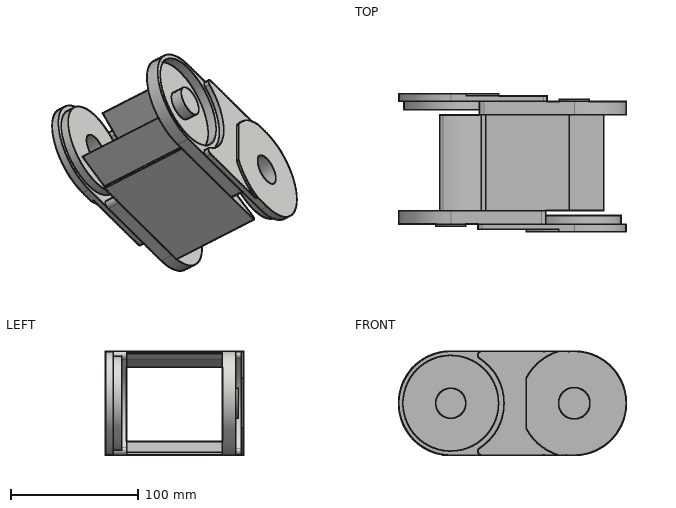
import cadquery as cq
import math

length = 179.0
height = 82.0
end_radius = height / 2
pivot_x = length / 2 - end_radius

setback = 0.2
outer_radius = end_radius - setback

side_inner = 37.6
recess_floor = 40.5
disc_inner = 41.44
plate_joint = 48.2
pin_tip = 50.0
web_outer = 52.5
side_outer = 108.7 / 2

clearance_radius = 41.9
recess_radius = 37.6
disc_radius = 36.9
pin_radius = 11.8
hole_radius = 12.4
pad_radius = 42.6
pad_flat_x = 10.7
inner_tip_radius = 3.5
outer_tip_radius = 3.0

top_start = -21.1
top_end = 44.8
top_underside = 28.1
top_wedge_root = 23.3
tongue_radius = 40.1
tongue_tip = (-57.3, 38.8)
tongue_bevel_x = -54.8
tongue_heel = (-50.8, 34.9)
tongue_root_x = -23.6
tongue_end_x = -24.7
ledge_height = 32.0

bottom_start = -54.8
bottom_lip_top = -38.5
ramp_end_x = -24.7
ramp_top = -30.0
step_x = -17.9
bottom_top = -29.7
bottom_end = 71.8
bottom_wedge_root = 42.0


def layer(near, far, sketch):
    """Extrude a sketch of the front side between two distances from the middle plane."""
    return sketch(cq.Workplane("XZ", origin=(0, -near, 0))).extrude(far - near)


def disc(x, radius, near, far):
    return layer(near, far, lambda plane: plane.center(x, 0).circle(radius))


def side_plate(near, far, direction, radius, tip_radius):
    """Plate round at one end (+1 right, -1 left) and hollowed around the other pivot, with round tips."""
    round_x = direction * pivot_x
    hollow_x = -round_x
    tip_z = radius - tip_radius
    tip_reach = clearance_radius + tip_radius
    tip_offset = math.sqrt(tip_reach**2 - tip_z**2)
    tip_x = hollow_x + direction * tip_offset
    touch_x = hollow_x + direction * tip_offset * clearance_radius / tip_reach
    touch_z = tip_z * clearance_radius / tip_reach
    tip_end_x = tip_x - direction * tip_radius
    hollow_bottom_x = hollow_x + direction * clearance_radius

    def outline(plane):
        return (
            plane.moveTo(tip_x, radius)
            .lineTo(round_x, radius)
            .threePointArc((round_x + direction * radius, 0), (round_x, -radius))
            .lineTo(tip_x, -radius)
            .threePointArc((tip_end_x, -tip_z), (touch_x, -touch_z))
            .threePointArc((hollow_bottom_x, 0), (touch_x, touch_z))
            .threePointArc((tip_end_x, tip_z), (tip_x, radius))
            .close()
        )

    return layer(near, far, outline)


def outer_pad():
    """Raised pad on the outer plate: a disc trimmed by a flat and by the plate's outline."""
    pad = side_plate(web_outer, side_outer, 1, outer_radius, outer_tip_radius)
    pad = pad.intersect(disc(pivot_x, pad_radius, web_outer, side_outer))
    trim_width = length / 2 - pad_flat_x
    trim_x = pad_flat_x + trim_width / 2
    return pad.intersect(
        layer(web_outer, side_outer, lambda plane: plane.center(trim_x, 0).rect(trim_width, height))
    )


def side():
    """Front side: recessed inner plate with a pin, and outer plate with a bored disc."""
    inner = side_plate(side_inner, plate_joint, -1, end_radius, inner_tip_radius)
    inner = inner.cut(disc(-pivot_x, recess_radius, recess_floor, plate_joint))
    inner = inner.union(disc(-pivot_x, pin_radius, recess_floor, pin_tip))
    outer = side_plate(plate_joint, web_outer, 1, outer_radius, outer_tip_radius)
    outer = outer.union(outer_pad())
    outer = outer.union(disc(pivot_x, disc_radius, disc_inner, plate_joint))
    outer = outer.cut(disc(pivot_x, hole_radius, disc_inner, side_outer))
    return inner.union(outer)


def tongue_height(x):
    return math.sqrt(tongue_radius**2 - (x + pivot_x) ** 2)


def cross_bar(sketch):
    return sketch(cq.Workplane("XZ", origin=(0, side_inner, 0))).extrude(2 * side_inner)


def top_bar(plane):
    """Upper bar: wedge at the right, tongue curved about the left pivot at the left."""
    return (
        plane.moveTo(top_start, outer_radius)
        .lineTo(top_end, outer_radius)
        .lineTo(top_wedge_root, top_underside)
        .lineTo(tongue_root_x, top_underside)
        .lineTo(*tongue_heel)
        .lineTo(*tongue_tip)
        .lineTo(tongue_bevel_x, tongue_height(tongue_bevel_x))
        .threePointArc((-pivot_x, tongue_radius), (tongue_end_x, tongue_height(tongue_end_x)))
        .lineTo(top_start, ledge_height)
        .close()
    )


def bottom_bar(plane):
    """Lower bar: ramp with a blunt lip at the left, overhanging wedge at the right."""
    return (
        plane.moveTo(bottom_start, -outer_radius)
        .lineTo(bottom_start, bottom_lip_top)
        .lineTo(ramp_end_x, ramp_top)
        .lineTo(step_x, ramp_top)
        .lineTo(step_x, bottom_top)
        .lineTo(bottom_end, bottom_top)
        .lineTo(bottom_wedge_root, bottom_lip_top)
        .lineTo(bottom_wedge_root, -outer_radius)
        .close()
    )


front_side = side()
rear_side = front_side.rotate((0, 0, 0), (0, 0, 1), 180)
result = front_side.union(rear_side).union(cross_bar(top_bar)).union(cross_bar(bottom_bar))